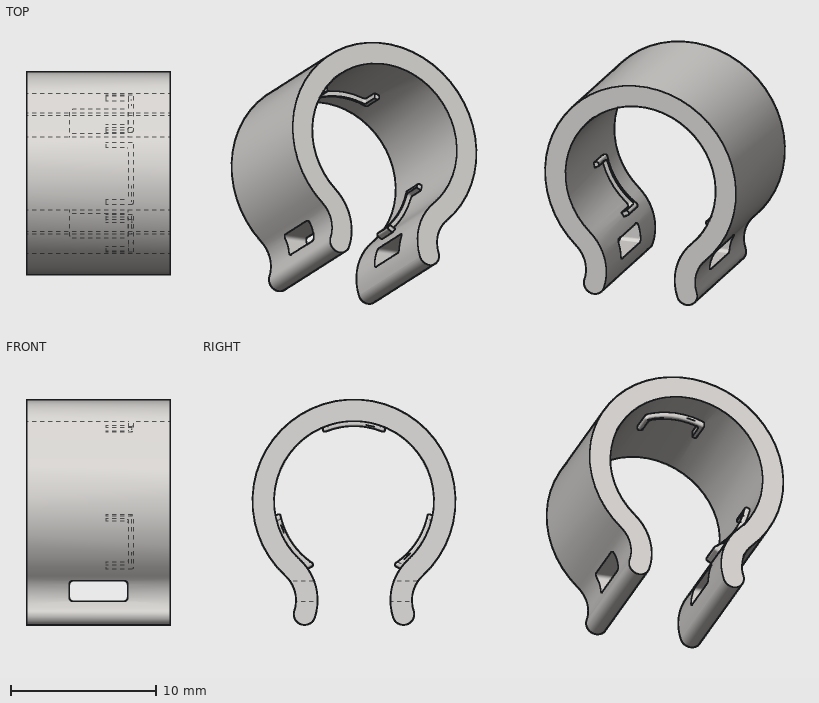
import cadquery as cq
import math

length = 9.9
bore_radius = 5.5
wall = 1.5
mouth_gap = 5.0
leg_bend_radius = 2.3
overall_height = 15.55
tip_radius = wall / 2
ring_radius = bore_radius + wall

bend_y = mouth_gap / 2 + wall + leg_bend_radius
bend_z = -math.sqrt((ring_radius + leg_bend_radius) ** 2 - bend_y ** 2)
ring_end_angle = math.atan2(bend_z, bend_y)

tip_z = ring_radius - overall_height + tip_radius
leg_mid_radius = leg_bend_radius + tip_radius
leg_end_angle = math.pi + math.asin((bend_z - tip_z) / leg_mid_radius)
tip_y = bend_y + leg_mid_radius * math.cos(leg_end_angle)

slot_length = 4.0
slot_height = 1.4
slot_center_z = -6.2
slot_corner_radius = 0.25

rib_height = 0.35
crown_radius = bore_radius - rib_height
rib_width = 0.35
rib_span = 4.3
rib_open_x = 0.5
rib_closed_x = 2.4
rib_corner_radius = 0.2
rib_rim_radius = 0.15
top_rib_angle = 90
side_rib_angle = top_rib_angle - 120
side_rib_shift = 0.32


def polar(center_y, center_z, radius, angle):
    return (center_y + radius * math.cos(angle), center_z + radius * math.sin(angle))


def mirrored(point):
    return (-point[0], point[1])


def leg_arc(radius):
    """Start, middle and end of a leg arc, from the ring down to the tip on the +Y side."""
    join_angle = ring_end_angle + math.pi
    middle_angle = (join_angle + leg_end_angle) / 2
    return [polar(bend_y, bend_z, radius, angle) for angle in (join_angle, middle_angle, leg_end_angle)]


def curled_wall():
    """Ring and both legs as one wall of constant thickness, square at the leg ends."""
    outer_join, outer_middle, outer_end = leg_arc(leg_bend_radius)
    inner_join, inner_middle, inner_end = leg_arc(leg_bend_radius + wall)
    return (
        cq.Workplane("YZ")
        .moveTo(*outer_end)
        .threePointArc(outer_middle, outer_join)
        .threePointArc((0, ring_radius), mirrored(outer_join))
        .threePointArc(mirrored(outer_middle), mirrored(outer_end))
        .lineTo(*mirrored(inner_end))
        .threePointArc(mirrored(inner_middle), mirrored(inner_join))
        .threePointArc((0, bore_radius), inner_join)
        .threePointArc(inner_middle, inner_end)
        .close()
        .extrude(length / 2, both=True)
    )


def leg_tips():
    return (
        cq.Workplane("YZ")
        .pushPoints([(tip_y, tip_z), (-tip_y, tip_z)])
        .circle(tip_radius)
        .extrude(length / 2, both=True)
    )


def leg_windows():
    return (
        cq.Workplane("XZ")
        .center(0, slot_center_z)
        .rect(slot_length, slot_height)
        .extrude(ring_radius, both=True)
        .edges("|Y")
        .fillet(slot_corner_radius)
    )


def rib_plan(closed_x, half_span):
    """Plan of a rib with rounded closed corners, as a tall prism pointing along +Z."""
    middle_x = (rib_open_x + closed_x) / 2
    return (
        cq.Workplane("XY")
        .center(middle_x, 0)
        .rect(closed_x - rib_open_x, 2 * half_span)
        .extrude(ring_radius)
        .edges("|Z and >X")
        .fillet(rib_corner_radius)
    )


def rib_layer():
    """Sleeve from the rib crowns to the middle of the ring wall, where the ribs are rooted."""
    return (
        cq.Workplane("YZ")
        .circle(bore_radius + wall / 2)
        .circle(crown_radius)
        .extrude(length / 2, both=True)
    )


def rib(angle, shift):
    """U-shaped rib facing the given direction, shifted clockwise, with its outer rim rounded."""
    half_span = rib_span / 2
    turn = angle - top_rib_angle

    def placed(prism):
        return prism.translate((0, shift, 0)).rotate((0, 0, 0), (1, 0, 0), turn)

    rim_angle = math.radians(angle) + math.asin((half_span - shift) / crown_radius)
    rim_y, rim_z = polar(0, 0, crown_radius, rim_angle)
    rim_middle = ((rib_open_x + rib_closed_x - rib_corner_radius) / 2, rim_y, rim_z)

    pad = rib_layer().intersect(placed(rib_plan(rib_closed_x, half_span)))
    pad = pad.edges(cq.NearestToPointSelector(rim_middle)).fillet(rib_rim_radius)
    opening = rib_plan(rib_closed_x - rib_width, half_span - rib_width)
    return pad.cut(placed(opening))


top_rib = rib(top_rib_angle, 0)
side_rib = rib(side_rib_angle, side_rib_shift)

result = curled_wall().union(leg_tips()).cut(leg_windows())
for raised_rib in (top_rib, side_rib, side_rib.mirror("XZ")):
    result = result.union(raised_rib)